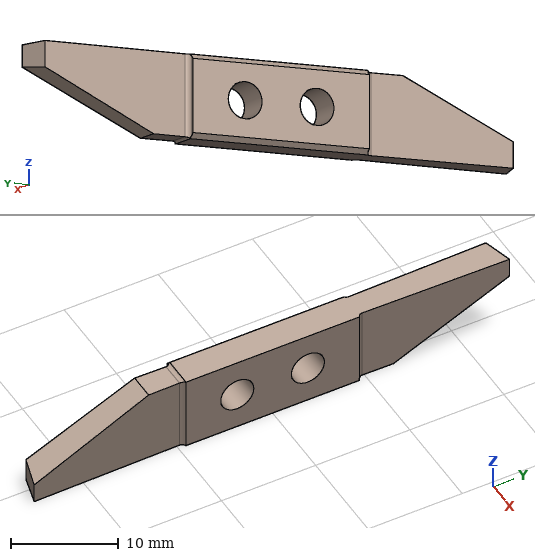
import cadquery as cq
import math

thickness = 3.6
length = 50.5
height = 8.0

body_half_length = 9.2
body_chamfer = 0.5
hole_diameter = 3.5
hole_spacing = 7.5

root_fillet = 0.5
root_left_inset = 0.67
root_right_inset = 0.355
left_flare_angle = 1.0
right_flare_angle = 0.8
tip_bevel_angle = 15.0

arm_edge_step = 0.17
edge_fillet = 0.8
slope_start = 13.0
slope_angle = 25.0

left = -thickness / 2
right = thickness / 2
tip_y = length / 2
top = height / 2
root_y = body_half_length + root_fillet

root_left = left + root_left_inset
root_right = right - root_right_inset

left_flare = math.tan(math.radians(left_flare_angle))
right_flare = math.tan(math.radians(right_flare_angle))
bevel = math.tan(math.radians(tip_bevel_angle))
tip_right = root_right + (tip_y - root_y) * right_flare
bevel_drop_at_root_width = (tip_right - root_left) * bevel
left_arm_length = (tip_y - root_y - bevel_drop_at_root_width) / (1 + left_flare * bevel)
tip_left_y = root_y + left_arm_length
tip_left = root_left - left_arm_length * left_flare

arm_top = top - arm_edge_step
tip_top = arm_top - (tip_y - slope_start) * math.tan(math.radians(slope_angle))


def concave_run(radius, step):
    """Length along the arm of a fillet that leaves the arm surface tangentially and rises by step."""
    return math.sqrt(radius**2 - (radius - step) ** 2)


def concave_midpoint(radius, step):
    """(distance back from the tangent line, rise above the arm) halfway along such a fillet."""
    mid_angle = math.acos((radius - step) / radius) / 2
    return radius * math.sin(mid_angle), radius * (1 - math.cos(mid_angle))


def plan_prism():
    """Outline in XY, mirrored about the X axis: body sides, root fillets and bevelled arms."""
    right_back, right_rise = concave_midpoint(root_fillet, root_right_inset)
    left_back, left_rise = concave_midpoint(root_fillet, root_fillet)
    half = (
        cq.Workplane("XY")
        .workplane(offset=-top)
        .moveTo(left, 0)
        .lineTo(left, body_half_length)
        .lineTo(root_left - root_fillet, body_half_length)
        .threePointArc((root_left - left_rise, root_y - left_back), (root_left, root_y))
        .lineTo(tip_left, tip_left_y)
        .lineTo(tip_right, tip_y)
        .lineTo(root_right, root_y)
        .threePointArc(
            (root_right + right_rise, root_y - right_back),
            (right, root_y - concave_run(root_fillet, root_right_inset)),
        )
        .lineTo(right, 0)
        .close()
        .extrude(height)
    )
    return half.union(half.mirror("XZ"))


def side_prism():
    """Outline in YZ, unchanged by a half turn about X: each arm slopes away on one edge."""
    step_back, step_rise = concave_midpoint(edge_fillet, arm_edge_step)
    edge_root_y = body_half_length + concave_run(edge_fillet, arm_edge_step)
    profile = cq.Workplane("YZ").workplane(offset=left).moveTo(tip_y, top)
    for side in (1, -1):
        profile = (
            profile.lineTo(-side * body_half_length, side * top)
            .threePointArc(
                (-side * (edge_root_y - step_back), side * (arm_top + step_rise)),
                (-side * edge_root_y, side * arm_top),
            )
            .lineTo(-side * slope_start, side * arm_top)
            .lineTo(-side * tip_y, side * tip_top)
            .lineTo(-side * tip_y, -side * top)
        )
    return profile.close().extrude(thickness)


def body_edge_cutter(side):
    """Triangular prism that chamfers one long edge of the body's -X face (side is +1 or -1 in Z)."""
    return (
        cq.Workplane("XZ")
        .workplane(offset=-root_y)
        .moveTo(left, side * top)
        .lineTo(left + body_chamfer, side * top)
        .lineTo(left, side * (top - body_chamfer))
        .close()
        .extrude(2 * root_y)
    )


def mounting_holes():
    """Two round holes through the thickness, spaced along Y."""
    return (
        cq.Workplane("YZ")
        .workplane(offset=left)
        .pushPoints([(-hole_spacing / 2, 0), (hole_spacing / 2, 0)])
        .circle(hole_diameter / 2)
        .extrude(thickness)
    )


result = plan_prism().intersect(side_prism())
for edge_side in (1, -1):
    result = result.cut(body_edge_cutter(edge_side))
result = result.cut(mounting_holes())